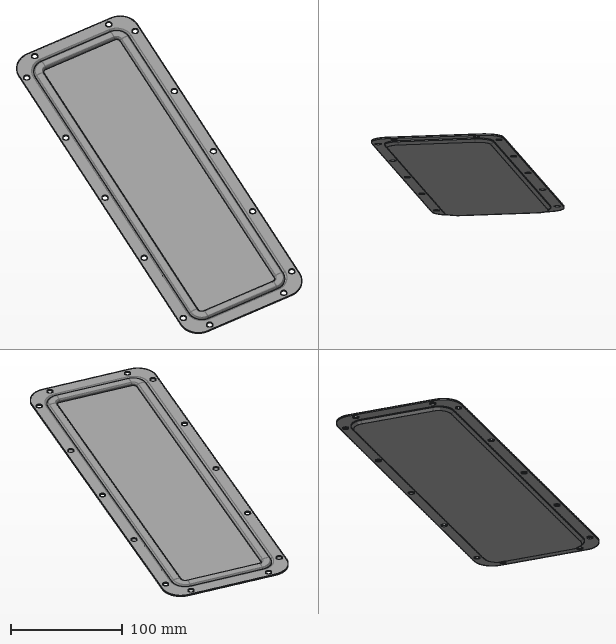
import cadquery as cq
import math

LENGTH = 345.0
WIDTH = 120.0
HEIGHT = 6.0

FLANGE_THICKNESS = 1.5
FLANGE_CORNER_RADIUS = 17.5
FLANGE_WIDTH = 10.7
RIM_RADIUS = 1.9
RECESS_DEPTH = 2.5
CORNER_CENTRE_INSET = 25.2
BASE_CHAMFER = 2.5

HOLE_DIAMETER = 5.5
HOLE_SPAN = 299.5
HOLE_PITCHES = 4
HOLE_INSET = 5.2

SEAL_WIDTH = 9.0
SEAL_TOP = 1.0
CROWN_RADIUS = 8.5
SHOULDER_RADIUS = 2.0

floor_z = -RECESS_DEPTH
bottom_z = SEAL_TOP - HEIGHT
recess_inset = FLANGE_WIDTH + RIM_RADIUS
hole_pitch = HOLE_SPAN / HOLE_PITCHES


def rounded_slab(inset, corner_radius, low_z, high_z):
    """Slab whose sides lie a given inset inside the outer edges."""
    return (
        cq.Workplane("XY", origin=(0, 0, low_z))
        .rect(LENGTH - 2 * inset, WIDTH - 2 * inset)
        .extrude(high_z - low_z)
        .edges("|Z")
        .fillet(corner_radius)
    )


def inner_slab(inset, low_z, high_z):
    """Slab whose corners turn about the common corner centres."""
    return rounded_slab(inset, CORNER_CENTRE_INSET - inset, low_z, high_z)


def hole_positions():
    """Five holes along each long side and two on each short side."""
    row_y = WIDTH / 2 - HOLE_INSET
    column_x = LENGTH / 2 - HOLE_INSET
    long_sides = [
        (i * hole_pitch - HOLE_SPAN / 2, side * row_y)
        for i in range(HOLE_PITCHES + 1)
        for side in (-1, 1)
    ]
    short_sides = [
        (side * column_x, end * hole_pitch / 2)
        for side in (-1, 1)
        for end in (-1, 1)
    ]
    return long_sides + short_sides


def make_pan():
    flange = rounded_slab(0, FLANGE_CORNER_RADIUS, -FLANGE_THICKNESS, 0)
    base = inner_slab(FLANGE_WIDTH, bottom_z, 0).faces("<Z").chamfer(BASE_CHAMFER)
    recess = inner_slab(recess_inset, floor_z, 0)
    body = flange.union(base).cut(recess)
    rim = body.faces(">Z").val().innerWires()[0]
    body = body.newObject(rim.Edges()).fillet(RIM_RADIUS)

    holes = (
        cq.Workplane("XY")
        .pushPoints(hole_positions())
        .circle(HOLE_DIAMETER / 2)
        .extrude(-FLANGE_THICKNESS)
    )
    return body.cut(holes)


def make_seal():
    half_width = SEAL_WIDTH / 2
    middle_y = recess_inset + half_width - WIDTH / 2
    crown_centre_z = SEAL_TOP - CROWN_RADIUS

    shoulder_x = half_width - SHOULDER_RADIUS
    lean = math.asin(shoulder_x / (CROWN_RADIUS - SHOULDER_RADIUS))
    shoulder_z = crown_centre_z + (CROWN_RADIUS - SHOULDER_RADIUS) * math.cos(lean)
    crown_end_x = CROWN_RADIUS * math.sin(lean)
    crown_end_z = crown_centre_z + CROWN_RADIUS * math.cos(lean)
    halfway = (lean + math.pi / 2) / 2
    arc_x = shoulder_x + SHOULDER_RADIUS * math.sin(halfway)
    arc_z = shoulder_z + SHOULDER_RADIUS * math.cos(halfway)

    profile = (
        cq.Workplane("YZ", origin=(0, middle_y, 0))
        .moveTo(-half_width, floor_z)
        .lineTo(-half_width, shoulder_z)
        .threePointArc((-arc_x, arc_z), (-crown_end_x, crown_end_z))
        .threePointArc((0, SEAL_TOP), (crown_end_x, crown_end_z))
        .threePointArc((arc_x, arc_z), (half_width, shoulder_z))
        .lineTo(half_width, floor_z)
        .close()
    )
    path = inner_slab(recess_inset, floor_z, 0).faces("<Z").wires()
    return profile.sweep(path)


pan = make_pan()
seal = make_seal()

result = cq.Compound.makeCompound([pan.val(), seal.val()])